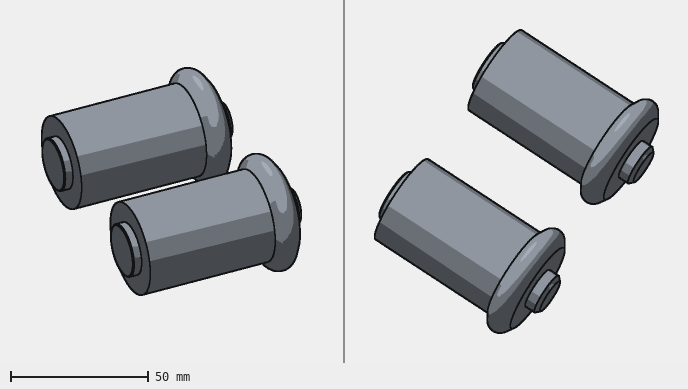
import cadquery as cq

overall_width = 104.0
rim_diameter = 44.0
roller_spacing = overall_width - rim_diameter

sleeve_diameter = 35.0
sleeve_length = 50.0

cap_diameter = 20.0
cap_length = 3.4
cap_chamfer = 0.4

flange_width = 10.0
front_bevel_width = 1.8
back_bevel_width = 2.0
bevel_diameter = 41.0

pin_diameter = 16.0
pin_length = 5.5
pin_chamfer = 1.5

flange_start = sleeve_length
flange_end = flange_start + flange_width


def cylinder_along_y(diameter, start, length):
    """Solid cylinder running in +Y from the given station."""
    plane = cq.Workplane("XZ", origin=(0, start, 0))
    return plane.circle(diameter / 2).extrude(-length)


def make_cap():
    """Low boss on the front of the sleeve, with its free edge broken."""
    return cylinder_along_y(cap_diameter, -cap_length, cap_length).faces("<Y").chamfer(cap_chamfer)


def make_sleeve():
    return cylinder_along_y(sleeve_diameter, 0, sleeve_length)


def make_flange():
    """Flange with a rounded rim between two conical bevels."""
    face_radius = sleeve_diameter / 2
    bevel_radius = bevel_diameter / 2
    rim_front = flange_start + front_bevel_width
    rim_back = flange_end - back_bevel_width
    rim_middle = (rim_front + rim_back) / 2
    profile = (
        cq.Workplane("XY")
        .moveTo(0, flange_start)
        .lineTo(face_radius, flange_start)
        .lineTo(bevel_radius, rim_front)
        .threePointArc((rim_diameter / 2, rim_middle), (bevel_radius, rim_back))
        .lineTo(face_radius, flange_end)
        .lineTo(0, flange_end)
        .close()
    )
    return profile.revolve(360, (0, 0, 0), (0, 1, 0))


def make_pin():
    """Pin behind the flange, with a chamfered tip."""
    return cylinder_along_y(pin_diameter, flange_end, pin_length).faces(">Y").chamfer(pin_chamfer)


bodies = []
for roller_x in (-roller_spacing / 2, roller_spacing / 2):
    for make_body in (make_cap, make_sleeve, make_flange, make_pin):
        bodies.append(make_body().translate((roller_x, 0, 0)).val())

result = cq.Compound.makeCompound(bodies)